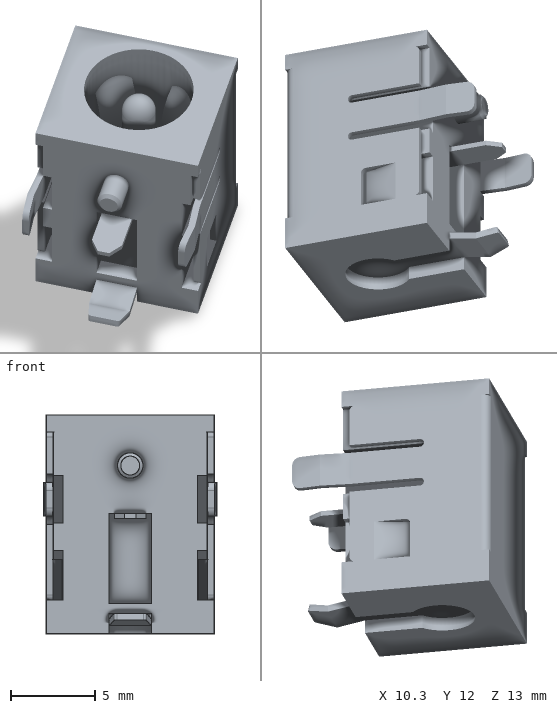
import cadquery as cq
import math


housing_width = 10.0
housing_depth = 9.0
housing_height = 13.0
side_x = housing_width / 2
back_y = 4.0
front_y = back_y - housing_depth
lead_tip_y = back_y - 12.0

metal = 0.4
shell_gap = 0.05
shell_bottom = 2.0
shell_top = 12.0
shell_front_y = front_y + 0.5
bend_radius = 0.5
corner_radius = 0.3

leg_bottom = 7.0
leg_top = 9.0
leg_relief = 0.5
leg_relief_end_y = 0.03
leg_bulge_x = 10.3 / 2
leg_bulge_y = -6.25
leg_tip_radius = 0.5

window_back_y = -0.8
window_front_y = -3.0
window_top = 4.43
tab_length = 2.13
tab_angle = math.radians(15)

pocket_depth = 1.0
pocket_back_y = 0.5
leg_pocket_bottom = 6.58
leg_pocket_top = 9.4
tab_pocket_top = 4.97

bore_radius = 3.25
bore_floor = 3.0
rib_width = 2.5
rib_top = 11.0
rib_crest_radius = 2.24
rib_crest_z = 7.14
rib_root = 0.13
rib_angles = (45, 135)

post_radius = 0.75
post_length = 1.8
post_z = 10.0
post_chamfer = 0.2

pin_radius = 1.0
pin_top = 12.2
pin_base_radius = 1.95
pin_lead_width = 2.5
pin_lead_top = 1.21
pin_lead_bottom = pin_lead_top - metal
pin_lead_bend_y = -6.68
pin_lead_drop = 0.3
pin_lead_tip_rise = 0.32
pin_lead_tip_width = 1.85
pin_lead_tip_fillet = 0.18

front_pocket_width = 2.5
front_pocket_depth = 1.0
front_pocket_bottom = 1.82
front_pocket_top = 7.15
contact_width = 1.85
contact_thickness = 0.3
contact_tip_width = 0.7
contact_taper = 0.8
contact_bottom = front_pocket_top - contact_thickness


def block(x0, x1, y0, y1, z0, z1):
    """Box between two opposite corners."""
    return cq.Workplane("XY").box(x1 - x0, y1 - y0, z1 - z0, centered=False).translate((x0, y0, z0))


def both_sides(right_side):
    """A +X side feature together with its mirror image."""
    return right_side.union(right_side.mirror("YZ"))


def plate(points, bottom, top):
    """Flat plate with an outline in X and Y."""
    return cq.Workplane("XY").workplane(offset=bottom).polyline(points).close().extrude(top - bottom)


def make_rib(angle):
    """Guide rib that bulges in one arc from the bore wall towards the pin."""
    root_radius = bore_radius + rib_root
    rib_bottom = 2 * rib_crest_z - rib_top
    rib = (
        cq.Workplane("XZ")
        .moveTo(root_radius, rib_bottom).lineTo(bore_radius, rib_bottom)
        .threePointArc((rib_crest_radius, rib_crest_z), (bore_radius, rib_top))
        .lineTo(root_radius, rib_top).close()
        .extrude(rib_width / 2, both=True)
    )
    return rib.rotate((0, 0, 0), (0, 0, 1), angle)


def make_bore():
    """Round plug cavity, less the guide ribs that stand in it."""
    bore = cq.Workplane("XY").workplane(offset=bore_floor).circle(bore_radius)
    bore = bore.extrude(housing_height - bore_floor)
    for angle in rib_angles:
        bore = bore.cut(make_rib(angle))
    return bore


def make_shell_recess():
    """Everything outside the housing core over the height of the shell."""
    core_x = side_x - metal - shell_gap
    core_back_y = back_y - metal - shell_gap
    ring = block(-side_x, side_x, front_y, back_y, shell_bottom, shell_top)
    return ring.cut(block(-core_x, core_x, front_y, core_back_y, shell_bottom, shell_top))


def make_side_pockets():
    """Pockets that give room to the shell legs and tabs."""
    inner_x = side_x - pocket_depth
    leg_pocket = block(inner_x, side_x, front_y, pocket_back_y, leg_pocket_bottom, leg_pocket_top)
    tab_pocket = block(inner_x, side_x, front_y, pocket_back_y, shell_bottom, tab_pocket_top)
    return both_sides(leg_pocket.union(tab_pocket))


def make_post():
    post = cq.Workplane("XZ", origin=(0, front_y, post_z)).circle(post_radius).extrude(post_length)
    return post.faces("<Y").chamfer(post_chamfer)


def make_pin_base(bottom, top):
    """Round disc about the pin axis with a strip of the lead's width running to the front face."""
    half = pin_lead_width / 2
    disc = cq.Workplane("XY").workplane(offset=bottom).circle(pin_base_radius).extrude(top - bottom)
    return disc.union(block(-half, half, front_y, 0, bottom, top))


def make_housing():
    housing = block(-side_x, side_x, front_y, back_y, 0, housing_height)
    housing = housing.cut(make_shell_recess()).cut(make_side_pockets()).cut(make_bore())
    half = front_pocket_width / 2
    pocket_y = front_y + front_pocket_depth
    housing = housing.cut(block(-half, half, front_y, pocket_y, front_pocket_bottom, front_pocket_top))
    return housing.union(make_post()).cut(make_pin_base(0, pin_lead_top))


def make_leg():
    """Solder leg that bows outwards and returns to the side plane."""
    outer = [(side_x, shell_front_y), (leg_bulge_x, leg_bulge_y), (side_x, lead_tip_y)]
    inner = [(x - metal, y) for x, y in reversed(outer)]
    leg = plate(outer + inner, leg_bottom, leg_top)
    return leg.faces("<Y").edges("|X").fillet(leg_tip_radius)


def make_tab():
    """Tab hinged on the front edge of the window and bent inwards."""
    along = (-math.sin(tab_angle) * tab_length, math.cos(tab_angle) * tab_length)
    across = (-math.cos(tab_angle) * metal, -math.sin(tab_angle) * metal)
    hinge = (side_x, window_front_y)
    outer_end = (hinge[0] + along[0], hinge[1] + along[1])
    inner_end = (outer_end[0] + across[0], outer_end[1] + across[1])
    inner_hinge = (hinge[0] + across[0], hinge[1] + across[1])
    return plate([hinge, outer_end, inner_end, inner_hinge], shell_bottom, window_top)


def make_leg_relief(bottom):
    """Round-ended slot beside a leg, cut through both side walls."""
    radius = leg_relief / 2
    centre_y = leg_relief_end_y - radius
    slot = block(-side_x, side_x, shell_front_y, centre_y, bottom, bottom + leg_relief)
    cap = cq.Workplane("YZ").center(centre_y, bottom + radius).circle(radius).extrude(side_x, both=True)
    return slot.union(cap)


def make_shell():
    """Sheet-metal cover around the back and both sides of the housing."""
    inner_x = side_x - metal
    shell = block(-side_x, side_x, shell_front_y, back_y, shell_bottom, shell_top)
    shell = shell.edges("|Z and >Y").fillet(bend_radius)
    inside = block(-inner_x, inner_x, shell_front_y, back_y - metal, shell_bottom, shell_top)
    shell = shell.cut(inside.edges("|Z and >Y").fillet(bend_radius - metal))
    shell = shell.faces("<Y").edges("|X").fillet(corner_radius)

    for bottom in (leg_bottom - leg_relief, leg_top):
        shell = shell.cut(make_leg_relief(bottom))
    window = block(-side_x, side_x, window_front_y, window_back_y, shell_bottom, window_top)
    shell = shell.cut(window.edges("|X and >Y and >Z").fillet(corner_radius))
    return shell.union(both_sides(make_leg())).union(both_sides(make_tab()))


def make_pin_lead():
    """Bent lead in front of the housing, tapering from its bend to a square-cut, rounded tip."""
    bend_top = pin_lead_top - pin_lead_drop
    tip_bottom = bend_top - metal + pin_lead_tip_rise
    tip_angle = math.atan2(pin_lead_tip_rise, pin_lead_bend_y - lead_tip_y)
    half = pin_lead_width / 2
    strip = (
        cq.Workplane("YZ")
        .moveTo(front_y, pin_lead_bottom).lineTo(pin_lead_bend_y, bend_top - metal)
        .lineTo(lead_tip_y, tip_bottom)
        .lineTo(lead_tip_y + metal * math.sin(tip_angle), tip_bottom + metal * math.cos(tip_angle))
        .lineTo(pin_lead_bend_y, bend_top).lineTo(front_y, pin_lead_top).close()
        .extrude(half, both=True)
    )
    tip = pin_lead_tip_width / 2
    outline = plate(
        [
            (-half, front_y), (-half, pin_lead_bend_y), (-tip, lead_tip_y),
            (tip, lead_tip_y), (half, pin_lead_bend_y), (half, front_y),
        ],
        0, pin_lead_top + metal,
    )
    lead = strip.intersect(outline)
    return lead.faces("<Y").edges("not |X").fillet(pin_lead_tip_fillet)


def make_centre_pin():
    """Domed pin rising from a round base that runs out into the lead."""
    dome_z = pin_top - pin_radius
    pin = cq.Workplane("XY").workplane(offset=pin_lead_bottom).circle(pin_radius)
    pin = pin.extrude(dome_z - pin_lead_bottom)
    pin = pin.union(cq.Workplane("XY").sphere(pin_radius).translate((0, 0, dome_z)))
    return pin.union(make_pin_base(pin_lead_bottom, pin_lead_top)).union(make_pin_lead())


def make_switch_contact():
    """Flat contact through the front wall, ending flush with the bore wall."""
    half = contact_width / 2
    tip = contact_tip_width / 2
    taper_y = lead_tip_y + contact_taper
    points = [
        (-half, -bore_radius), (-half, taper_y), (-tip, lead_tip_y),
        (tip, lead_tip_y), (half, taper_y), (half, -bore_radius),
    ]
    return plate(points, contact_bottom, front_pocket_top)


shell = make_shell()
centre_pin = make_centre_pin()
switch_contact = make_switch_contact()
housing = make_housing().cut(centre_pin).cut(switch_contact)

result = cq.Compound.makeCompound([housing.val(), shell.val(), centre_pin.val(), switch_contact.val()])